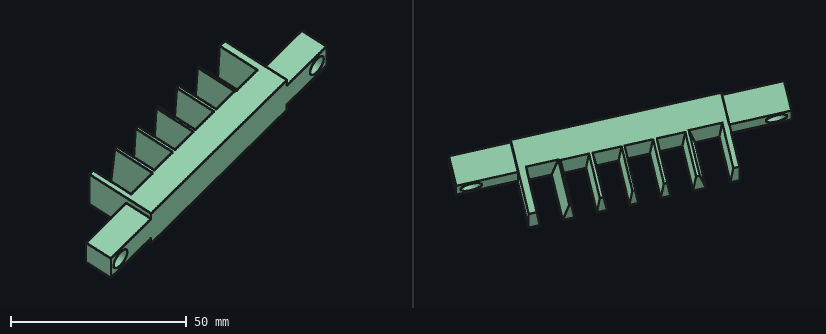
import cadquery as cq

total_length = 97.9
depth = 22.6
height = 14.0

body_y_max = 30.9
body_y_min = -30.6

bar_size = 9.1
hole_diameter = 6.2
hole_end_distance = 4.4

inner_slot_depth = 13.5
end_slot_depth = 13.8

slots = [
    (28.5, 19.1, 27.7, 21.0, end_slot_depth),
    (18.5, 10.2, 17.5, 11.1, inner_slot_depth),
    (9.1, 0.7, 8.0, 1.6, inner_slot_depth),
    (-0.2, -8.5, -1.1, -7.5, inner_slot_depth),
    (-9.6, -17.9, -10.5, -17.0, inner_slot_depth),
    (-19.0, -28.8, -20.9, -27.9, end_slot_depth),
]

front_x = -depth / 2
back_x = depth / 2
top_z = height / 2
bottom_z = -height / 2


def make_body():
    length = body_y_max - body_y_min
    center_y = (body_y_max + body_y_min) / 2
    return cq.Workplane("XY").box(depth, length, height).translate((0, center_y, 0))


def make_mounting_bar():
    """Full-length bar flush with the back face."""
    center_x = back_x - bar_size / 2
    return cq.Workplane("XY").box(bar_size, total_length, bar_size).translate((center_x, 0, 0))


def make_slot(top_left, top_right, bottom_left, bottom_right, slot_depth):
    """Tapered slot cutter running back from the front face."""
    return (
        cq.Workplane("YZ", origin=(front_x, 0, 0))
        .moveTo(top_left, top_z)
        .lineTo(top_right, top_z)
        .lineTo(bottom_right, bottom_z)
        .lineTo(bottom_left, bottom_z)
        .close()
        .extrude(slot_depth)
    )


def make_mounting_holes():
    """Through holes along X, one near each end of the bar."""
    hole_y = total_length / 2 - hole_end_distance
    return (
        cq.Workplane("YZ", origin=(front_x, 0, 0))
        .pushPoints([(hole_y, 0), (-hole_y, 0)])
        .circle(hole_diameter / 2)
        .extrude(depth)
    )


body = make_body()
for slot in slots:
    body = body.cut(make_slot(*slot))

body_envelope = make_body()
bar_ends = make_mounting_bar().cut(body_envelope)
result = body.union(bar_ends).cut(make_mounting_holes())